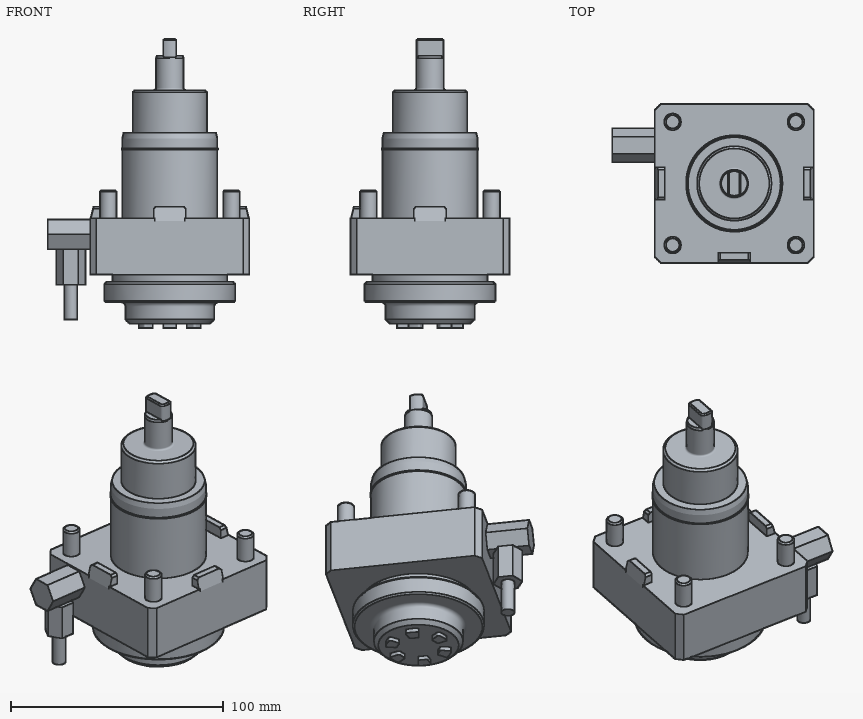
import cadquery as cq
import math

overall_height = 136

base_side = 75.0
base_height = 26.5
base_corner_chamfer = 3.0

body_radius = 22.5
body_top_z = 66.8
body_taper_height = 2.7
body_taper_inset = 0.7
seal_z = 59.0
seal_height = 0.7
seal_bulge = 0.3
neck_radius = 17.5
neck_top_z = 86.8
neck_chamfer = 1.1

shaft_radius = 6.5
shaft_top_z = 103.0
shaft_root_fillet = 1.0
shaft_lead_height = 1.2
shaft_lead_inset = 0.4
tang_radius = 6.4
tang_thickness = 6.3
tang_top_z = 110.8
tang_edge_fillet = 1.1
tang_top_chamfer = 0.7

collar_radius = 27.0
collar_depth = 3.3
flange_radius = 30.9
flange_depth = 13.0
flange_top_chamfer = 1.2
flange_bottom_chamfer = 0.8
foot_radius = 21.0
foot_depth = 23.1
foot_root_fillet = 1.9
foot_chamfer = 2.0

tooth_count = 6
first_tooth_direction = 90
tooth_outer_radius = 15.6
tooth_inner_radius = 10.2
tooth_half_angle = 12
tooth_edge_fillet = 1.0
tooth_bottom_depth = overall_height - tang_top_z

pin_radius = 4.0
pin_spacing = 58.0
pin_height = 13.2
pin_chamfer = 0.8

key_length = 15.2
key_height = 5.5
key_depth = 4.9
key_lean = 1.6
key_drop = 1.2
key_notch_inset = 0.5
key_top_chamfer = 1.1
key_directions = (-90, 180, 0)

connector_reach = 20.0
connector_y = 18.0
hex_sides = 6
hex_across_flats = 14.0
connector_z = 18.9
gland_x = -46.5
gland_across_corners = 13.9
gland_length = 16.7
cable_radius = 3.1
cable_length = 16.3

overlap = 1.4


def make_housing():
    plate = cq.Workplane("XY").box(base_side, base_side, base_height, centered=(True, True, False))
    return plate.edges("|Z").chamfer(base_corner_chamfer)


def make_upper_body():
    """Body, neck and shaft as one revolved profile."""
    taper_z = body_top_z - body_taper_height
    lead_z = shaft_top_z - shaft_lead_height
    half_seal = seal_height / 2
    profile = (
        cq.Workplane("XZ")
        .lineTo(body_radius, 0)
        .lineTo(body_radius, seal_z - half_seal)
        .threePointArc((body_radius + seal_bulge, seal_z), (body_radius, seal_z + half_seal))
        .lineTo(body_radius, taper_z)
        .lineTo(body_radius - body_taper_inset, body_top_z)
        .lineTo(neck_radius, body_top_z)
        .lineTo(neck_radius, neck_top_z - neck_chamfer)
        .lineTo(neck_radius - neck_chamfer, neck_top_z)
        .lineTo(shaft_radius + shaft_root_fillet, neck_top_z)
        .radiusArc((shaft_radius, neck_top_z + shaft_root_fillet), shaft_root_fillet)
        .lineTo(shaft_radius, lead_z)
        .lineTo(shaft_radius - shaft_lead_inset, shaft_top_z)
        .lineTo(0, shaft_top_z)
        .close()
    )
    return profile.revolve(360, (0, 0, 0), (0, 1, 0))


def make_tang():
    """Round bar end with two flats facing -X and +X."""
    height = tang_top_z - shaft_top_z + overlap
    start = cq.Workplane("XY").workplane(offset=shaft_top_z - overlap)
    slab = start.rect(tang_thickness, 2 * shaft_radius).extrude(height)
    tang = start.circle(tang_radius).extrude(height).intersect(slab)
    return tang.edges("|Z and (<X or >X)").fillet(tang_edge_fillet).faces(">Z").chamfer(tang_top_chamfer)


def make_foot():
    """Collar, flange and foot as one revolved profile."""
    profile = (
        cq.Workplane("XZ")
        .moveTo(0, overlap)
        .lineTo(collar_radius, overlap)
        .lineTo(collar_radius, -collar_depth)
        .lineTo(flange_radius - flange_top_chamfer, -collar_depth)
        .lineTo(flange_radius, -collar_depth - flange_top_chamfer)
        .lineTo(flange_radius, -flange_depth + flange_bottom_chamfer)
        .lineTo(flange_radius - flange_bottom_chamfer, -flange_depth)
        .lineTo(foot_radius + foot_root_fillet, -flange_depth)
        .radiusArc((foot_radius, -flange_depth - foot_root_fillet), -foot_root_fillet)
        .lineTo(foot_radius, -foot_depth + foot_chamfer)
        .lineTo(foot_radius - foot_chamfer, -foot_depth)
        .lineTo(0, -foot_depth)
        .close()
    )
    return profile.revolve(360, (0, 0, 0), (0, 1, 0))


def polar(radius, degrees):
    angle = math.radians(degrees)
    return (radius * math.cos(angle), radius * math.sin(angle))


def make_tooth(direction):
    """Ring sector pointing in the given direction, in degrees from +X."""
    first = direction - tooth_half_angle
    last = direction + tooth_half_angle
    tooth = (
        cq.Workplane("XY", origin=(0, 0, -tooth_bottom_depth))
        .moveTo(*polar(tooth_inner_radius, first))
        .lineTo(*polar(tooth_outer_radius, first))
        .threePointArc(polar(tooth_outer_radius, direction), polar(tooth_outer_radius, last))
        .lineTo(*polar(tooth_inner_radius, last))
        .threePointArc(polar(tooth_inner_radius, direction), polar(tooth_inner_radius, first))
        .close()
        .extrude(tooth_bottom_depth - foot_depth + overlap)
    )
    return tooth.edges("|Z").fillet(tooth_edge_fillet)


def make_pins():
    pins = (
        cq.Workplane("XY", origin=(0, 0, base_height - overlap))
        .rect(pin_spacing, pin_spacing, forConstruction=True)
        .vertices()
        .circle(pin_radius)
        .extrude(pin_height + overlap)
    )
    return pins.faces(">Z").chamfer(pin_chamfer)


def key_prism(length, points):
    """Extrude an outline in the XZ plane symmetrically along Y."""
    return cq.Workplane("XZ").polyline(points).close().extrude(length / 2, both=True)


def make_key():
    """Key on the +X edge; its outer face leans inwards and runs out on the housing side."""
    outer_x = base_side / 2
    low_z = base_height - key_drop
    top_z = base_height + key_height
    outline = [
        (outer_x, low_z),
        (outer_x - key_lean, top_z),
        (outer_x - key_depth, top_z),
        (outer_x - key_depth, low_z),
    ]
    key = key_prism(key_length, outline)
    return key.faces(">Z").edges("<Y or >Y").chamfer(key_top_chamfer)


def make_key_notch():
    """Sliver removed from the housing edge in front of the leaning key face."""
    outer_x = base_side / 2
    low_z = base_height - key_drop
    lean_at_top = key_lean * key_drop / (key_drop + key_height)
    outline = [(outer_x, low_z), (outer_x, base_height), (outer_x - lean_at_top, base_height)]
    return key_prism(key_length - 2 * key_notch_inset, outline)


def turned(piece, degrees):
    return piece.rotate((0, 0, 0), (0, 0, 1), degrees)


def make_connector():
    """Horizontal hexagon, hexagonal gland hanging below it, and the cable stub."""
    corner_ratio = 1 / math.cos(math.pi / hex_sides)
    wall_x = -base_side / 2
    body = (
        cq.Workplane("YZ", origin=(wall_x - connector_reach, connector_y, connector_z))
        .polygon(hex_sides, hex_across_flats * corner_ratio)
        .extrude(connector_reach + overlap)
    )
    gland_top_z = connector_z - hex_across_flats / 2
    gland_bottom_z = gland_top_z - gland_length
    gland = (
        cq.Workplane("XY", origin=(gland_x, connector_y, gland_bottom_z))
        .polygon(hex_sides, gland_across_corners)
        .extrude(gland_length)
    )
    cable = (
        cq.Workplane("XY", origin=(gland_x, connector_y, gland_bottom_z - cable_length))
        .circle(cable_radius)
        .extrude(cable_length + overlap)
    )
    return body.union(gland).union(cable)


result = make_housing()
for direction in key_directions:
    result = result.cut(turned(make_key_notch(), direction))
    result = result.union(turned(make_key(), direction))
result = result.union(make_upper_body()).union(make_tang()).union(make_pins())
result = result.union(make_foot())
for index in range(tooth_count):
    result = result.union(make_tooth(first_tooth_direction + index * 360 / tooth_count))
result = result.union(make_connector())